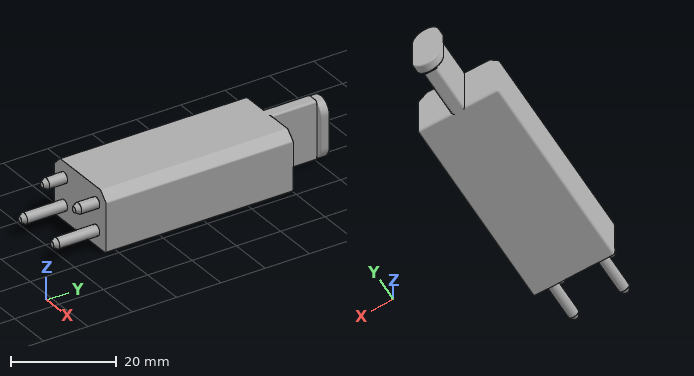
import cadquery as cq

body_width = 18.0
body_height = 13.0
corner_chamfer = 2.0
edge_round = 0.5

total_length = 64.4
long_pin_length = 10.0
short_pin_length = 5.0
neck_length = 10.0
flange_thickness = 2.0
body_length = total_length - long_pin_length - neck_length - flange_thickness

neck_width = 2.95
flange_width = 6.0
flange_edge_round = 0.3

pin_diameter = 2.4
tip_diameter = 1.2
tip_length = 0.95
pin_spacing = 11.15
lower_pin_height = 3.5
upper_pin_height = 9.5


def make_body():
    """Block with bevelled upper corners; every edge rounded except around the front face."""
    block = cq.Workplane("XY").box(body_width, body_length, body_height, centered=(True, False, False))
    block = block.edges("|Y and >Z").chamfer(corner_chamfer)
    return block.edges("|Y or >Y").fillet(edge_round)


def make_neck():
    """Full-height web with rounded long edges, started inside the block to fill its rounded back edge."""
    neck = (
        cq.Workplane("XY")
        .box(neck_width, neck_length + 2 * edge_round, body_height, centered=(True, False, False))
        .edges("|Y")
        .fillet(edge_round)
    )
    return neck.translate((0, body_length - 2 * edge_round, 0))


def make_flange():
    """Upright plate with semicircular ends and rounded rims."""
    return (
        cq.Workplane("XZ", origin=(0, body_length + neck_length, body_height / 2))
        .slot2D(body_height, flange_width, 90)
        .extrude(-flange_thickness)
        .faces("<Y or >Y")
        .edges()
        .fillet(flange_edge_round)
    )


def make_pin(x, z, length):
    """Round pin pointing toward -Y with a conical tip."""
    return (
        cq.Workplane("XZ", origin=(x, 0, z))
        .circle(pin_diameter / 2)
        .extrude(length)
        .faces("<Y")
        .chamfer(tip_length, (pin_diameter - tip_diameter) / 2)
    )


result = make_body().union(make_neck()).union(make_flange())
for pin_x in (-pin_spacing / 2, pin_spacing / 2):
    result = result.union(make_pin(pin_x, lower_pin_height, long_pin_length))
    result = result.union(make_pin(pin_x, upper_pin_height, short_pin_length))